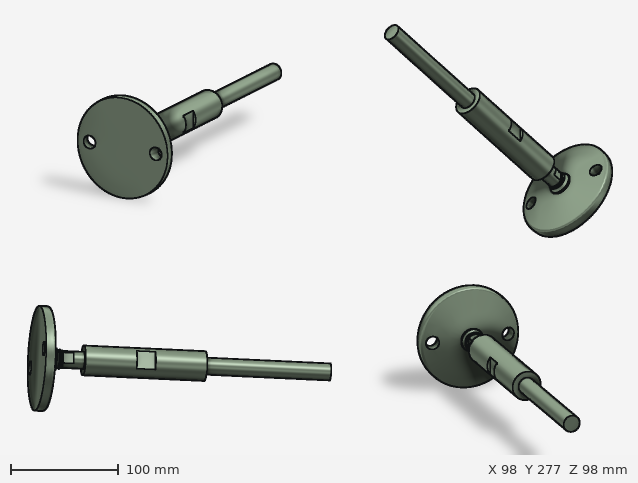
import cadquery as cq
import math

total_length = 277.0

plate_radius = 98.0 / 2
rim_height = 9.1
rim_fillet = 2.8
cone_slope = 9.7
draft_height = 4.2
draft_inset = 0.3
hole_diameter = 12.5
hole_offset = 35.7
hole_reach = 27.7

spindle_radius = 16.0 / 2
foot_radius = 11.0
shoulder_radius = 10.8
shoulder_y = 17.2
neck_radius = 7.5
upper_ring_radius = 8.3
lower_ring_radius = 9.1
lower_neck_y = 20.0
lower_ring_y = 21.0
middle_neck_y = 22.0
upper_ring_y = 22.7
rings_end_y = 23.5
spindle_flat_half_width = 6.23
spindle_flat_end_y = 33.5

sleeve_radius = 28.0 / 2
sleeve_start_y = 43.8
sleeve_length = 115.0
sleeve_flat_half_width = 11.0
sleeve_flat_length = 17.7
sleeve_flat_middle_y = sleeve_start_y + sleeve_length / 2

cone_rise = (plate_radius - foot_radius) * math.tan(math.radians(cone_slope))
seat_y = rim_height + cone_rise


def revolve_profile(points):
    """Turn a closed (radius, Y) outline about the Y axis."""
    return cq.Workplane("XY").polyline(points).close().revolve(360, (0, 0, 0), (0, 1, 0))


def cut_flats(body, body_radius, half_width, start_y, end_y):
    """Cut two opposite wrench flats facing -X and +X."""
    depth = body_radius - half_width
    for side in (-1, 1):
        cutter = cq.Workplane("XY").box(depth, end_y - start_y, 2 * body_radius).translate(
            (side * (half_width + depth / 2), (start_y + end_y) / 2, 0)
        )
        body = body.cut(cutter)
    return body


def make_plate():
    """Conical plate with a rounded, drafted rim and two holes square to the cone."""
    plate = revolve_profile([
        (0, 0),
        (plate_radius - draft_inset, 0),
        (plate_radius, draft_height),
        (plate_radius, rim_height),
        (foot_radius, seat_y),
        (0, seat_y),
    ])
    rim_edge = cq.selectors.BoxSelector(
        (-plate_radius - 2.8, rim_height - 0.3, -plate_radius - 2.8),
        (plate_radius + 2.8, rim_height + 0.3, plate_radius + 2.8),
        boundingbox=True,
    )
    plate = plate.edges(rim_edge).fillet(rim_fillet)

    lean = math.radians(cone_slope)
    for side in (-1, 1):
        direction = cq.Vector(side * math.sin(lean), math.cos(lean), 0)
        start = cq.Vector(side * hole_offset, 0, 0) - direction * hole_reach
        hole = cq.Solid.makeCylinder(hole_diameter / 2, 2 * hole_reach, start, direction)
        plate = plate.cut(cq.Workplane(obj=hole))
    return plate


def make_spindle():
    """Rod with a flared foot, two thin rings above it and wrench flats."""
    spindle = revolve_profile([
        (0, seat_y),
        (foot_radius, seat_y),
        (shoulder_radius, shoulder_y),
        (neck_radius, lower_neck_y),
        (lower_ring_radius, lower_ring_y),
        (neck_radius, middle_neck_y),
        (upper_ring_radius, upper_ring_y),
        (upper_ring_radius, rings_end_y),
        (spindle_radius, rings_end_y),
        (spindle_radius, total_length),
        (0, total_length),
    ])
    return cut_flats(spindle, spindle_radius, spindle_flat_half_width, rings_end_y, spindle_flat_end_y)


def make_sleeve():
    """Tube around the spindle with wrench flats at mid-length."""
    sleeve_end_y = sleeve_start_y + sleeve_length
    sleeve = revolve_profile([
        (spindle_radius, sleeve_start_y),
        (sleeve_radius, sleeve_start_y),
        (sleeve_radius, sleeve_end_y),
        (spindle_radius, sleeve_end_y),
    ])
    flat_start_y = sleeve_flat_middle_y - sleeve_flat_length / 2
    flat_end_y = sleeve_flat_middle_y + sleeve_flat_length / 2
    return cut_flats(sleeve, sleeve_radius, sleeve_flat_half_width, flat_start_y, flat_end_y)


plate = make_plate()
spindle = make_spindle()
sleeve = make_sleeve()

result = cq.Compound.makeCompound([plate.val(), spindle.val(), sleeve.val()])